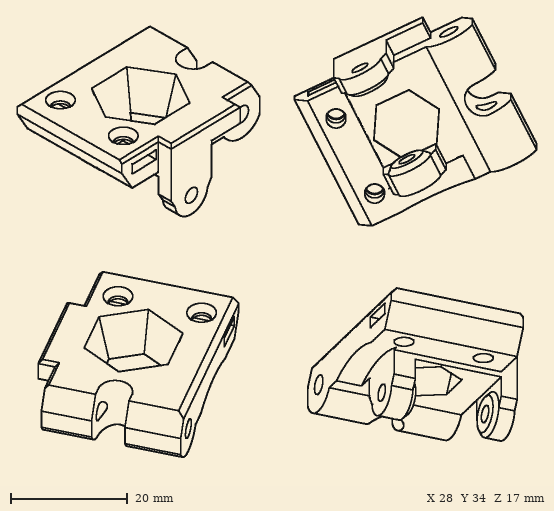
import cadquery as cq
import math


plate_width = 25.0
plate_length = 34.0
plate_depth = 7.0
bevel_slope = math.tan(math.radians(60))
front_edge_depth = 2.62
back_bevel_depth = 4.08
left_chamfer = 1.1
right_chamfer = 0.6

pad_depth = 8.0
pad_front = 9.0
pad_back = 33.0

barrel_radius = 5.0
barrel_y = 29.5
barrel_z = -5.47
barrel_bore = 3.4

overall_width = 28.0
overall_height = 17.0
lug_radius = 4.0
lug_half_length = 5.0
lug_y = pad_front + lug_half_length
lug_z = lug_radius - overall_height
lug_bore = 3.0
lug_shoulder_z = -11.65
lug_taper_inset = 1.5
left_lug_start = 4.73
left_lug_end = 8.77
left_boss_height = 1.0
right_boss_height = 0.75

block_length = 17.0
block_depth = 4.0
block_chamfer = 0.6

relief_radius = 18.0
relief_apex_z = -6.0

slot_radius = 3.0
slot_x = 13.0
slot_y = 30.0

hex_across_flats = 15.03
hex_x = 13.97
hex_y = 16.0
hex_taper = 15.0
hex_cut_depth = 8.98

screw_x_positions = (5.0, 20.0)
screw_y = 5.5
screw_hole = 3.4
countersink_top = 5.05
countersink_depth = 1.43
nut_width = 5.8
nut_top_z = -2.0
nut_thickness = 2.0


def prism_along_x(points, x_start, x_end):
    """Extrude a closed (Y, Z) outline from x_start to x_end."""
    return cq.Workplane("YZ", origin=(x_start, 0, 0)).polyline(points).close().extrude(x_end - x_start)


def cylinder_along_x(y, z, radius, x_start, x_end):
    return cq.Workplane("YZ", origin=(x_start, y, z)).circle(radius).extrude(x_end - x_start)


def make_plate():
    """Plate, pad and barrel, trimmed by the back bevel and the two top chamfers."""
    front_bevel_run = (plate_depth - front_edge_depth) / bevel_slope
    profile = [
        (0, 0),
        (0, -front_edge_depth),
        (front_bevel_run, -plate_depth),
        (pad_front, -plate_depth),
        (pad_front, -pad_depth),
        (pad_back, -pad_depth),
        (pad_back, 0),
    ]
    plate = prism_along_x(profile, 0, plate_width)
    plate = plate.union(cylinder_along_x(barrel_y, barrel_z, barrel_radius, 0, plate_width))

    back_bevel_run = back_bevel_depth / bevel_slope
    side_envelope = [
        (0, 0),
        (plate_length - back_bevel_run, 0),
        (plate_length, -back_bevel_depth),
        (plate_length, -overall_height),
        (0, -overall_height),
    ]
    plate = plate.intersect(prism_along_x(side_envelope, 0, plate_width))

    end_envelope = [
        (left_chamfer, 0),
        (plate_width - right_chamfer, 0),
        (plate_width, -right_chamfer),
        (plate_width, -overall_height),
        (0, -overall_height),
        (0, -left_chamfer),
    ]
    envelope = cq.Workplane("XZ").polyline(end_envelope).close().extrude(-plate_length)
    return plate.intersect(envelope)


def make_relief():
    """Cylinder that hollows the underside from the left side to the left lug."""
    return cylinder_along_x(lug_y, relief_apex_z - relief_radius, relief_radius, 0, left_lug_start)


def make_lug(x_start, x_end, top_z):
    """Straight-sided lug that tapers into a round end."""
    taper_end_z = lug_shoulder_z - lug_taper_inset * bevel_slope
    front = lug_y - lug_half_length
    back = lug_y + lug_half_length
    outline = [
        (front, top_z),
        (front, lug_shoulder_z),
        (front + lug_taper_inset, taper_end_z),
        (back - lug_taper_inset, taper_end_z),
        (back, lug_shoulder_z),
        (back, top_z),
    ]
    lug = prism_along_x(outline, x_start, x_end)
    return lug.union(cylinder_along_x(lug_y, lug_z, lug_radius, x_start, x_end))


def make_boss(x_face, height, direction):
    """45-degree cone frustum on a lug's inner face; direction is +1 or -1 along X."""
    base_center = cq.Vector(x_face, lug_y, lug_z)
    axis = cq.Vector(direction, 0, 0)
    return cq.Workplane(cq.Solid.makeCone(lug_radius, lug_radius - height, height, base_center, axis))


def make_block():
    """Side block with its three outer top edges chamfered."""
    block_start = plate_width - right_chamfer
    block_width = overall_width - block_start
    block = cq.Workplane("XY").box(block_width, block_length, block_depth, centered=False)
    block = block.faces(">Z").edges("not <X").chamfer(block_chamfer)
    return block.translate((block_start, pad_front, -block_depth))


def make_slot():
    """Round-ended slot, open at the back edge."""
    slot = cq.Workplane("XY").center(slot_x, slot_y).circle(slot_radius).extrude(-overall_height)
    mouth = cq.Workplane("XY").box(
        2 * slot_radius, plate_length - slot_y, overall_height, centered=(True, False, False)
    )
    return slot.union(mouth.translate((slot_x, slot_y, -overall_height)))


def make_hex_opening():
    """Hexagon with corners toward the front and back, narrowing downward."""
    half_corner_angle = 30
    hex_diameter = hex_across_flats / math.cos(math.radians(half_corner_angle))
    return (
        cq.Workplane("XY", origin=(hex_x, hex_y, 0))
        .transformed(rotate=(0, 0, half_corner_angle))
        .polygon(6, hex_diameter)
        .extrude(-hex_cut_depth, taper=hex_taper)
    )


def make_screw_hole(x):
    """Countersunk through hole."""
    hole = cq.Workplane("XY").center(x, screw_y).circle(screw_hole / 2).extrude(-overall_height)
    countersink = cq.Solid.makeCone(
        countersink_top / 2,
        screw_hole / 2,
        countersink_depth,
        cq.Vector(x, screw_y, 0),
        cq.Vector(0, 0, -1),
    )
    return hole.union(cq.Workplane(countersink))


def make_nut_slot(x_outer, x_inner):
    """Nut slot running in from a side of the plate to just past its screw hole."""
    slot = cq.Workplane("XY").box(abs(x_inner - x_outer), nut_width, nut_thickness)
    return slot.translate(((x_outer + x_inner) / 2, screw_y, nut_top_z - nut_thickness / 2))


result = make_plate().cut(make_relief())

result = result.union(make_lug(left_lug_start, left_lug_end, -plate_depth))
result = result.union(make_boss(left_lug_end, left_boss_height, 1))
result = result.union(make_lug(plate_width, overall_width, -block_depth))
result = result.union(make_boss(plate_width, right_boss_height, -1))
result = result.union(make_block())

result = result.cut(cylinder_along_x(barrel_y, barrel_z, barrel_bore / 2, 0, overall_width))
result = result.cut(cylinder_along_x(lug_y, lug_z, lug_bore / 2, 0, overall_width))

result = result.cut(make_slot())
result = result.cut(make_hex_opening())
for screw_x in screw_x_positions:
    result = result.cut(make_screw_hole(screw_x))
left_screw_x, right_screw_x = screw_x_positions
result = result.cut(make_nut_slot(0, left_screw_x + nut_width / 2))
result = result.cut(make_nut_slot(plate_width, right_screw_x - nut_width / 2))